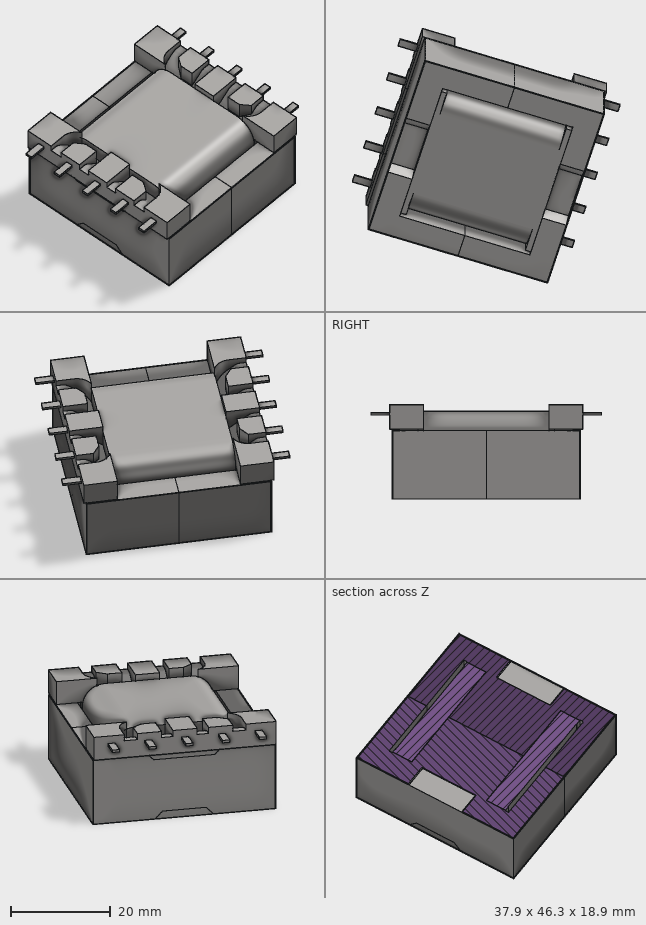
import cadquery as cq
import math

top_height = 18.95
core_height = 13.75
winding_height = 17.65

band_width = 37.85
band_thickness = 0.2
core_half_size = band_width / 2 - band_thickness
window_half_width = 14.25
window_half_length = 13.7
top_notch_half_width = 7.3
top_notch_depth = 1.0
bottom_notch_half_width = 6.02
bottom_notch_depth = 1.55

winding_half_width = 13.5
winding_radius = 4.6
winding_half_length = 12.55
leg_half_width = winding_half_width - winding_radius
leg_bottom = winding_radius
leg_top = winding_height - winding_radius

flange_half_width = 13.6
block_width = 37.67
block_height = 4.9
block_outer = 19.4
block_bottom = top_height - block_height
neck_drop = 0.75

center_tooth_half_width = 2.5
opening_half_width = 12.55
opening_arc_radius = 3.48
opening_arc_center = 15.75
tooth_inner_x = 4.85
tooth_outer_x = 9.85
tooth_end = 14.35
tooth_bevel_x = 7.9
tooth_bevel_y = 15.8
ramp_start = 18.05
ramp_tangent = 17.1
ramp_angle = math.radians(36)

pin_pitch = 7.6
pin_count = 5
pin_width = 1.5
pin_thickness = 0.5
pin_tip = 23.15
pin_center_height = 17.1


def box(x_min, x_max, y_min, y_max, z_min, z_max):
    size = (x_max - x_min, y_max - y_min, z_max - z_min)
    return cq.Workplane("XY").box(*size, centered=False).translate((x_min, y_min, z_min))


def centered_box(half_width, y_min, y_max, z_min, z_max):
    return box(-half_width, half_width, y_min, y_max, z_min, z_max)


def turned(body):
    """Copy of a body from the +Y end, turned round to the -Y end."""
    return body.rotate((0, 0, 0), (0, 0, 1), 180)


def trapezoid(half_base, base_z, height, y_min, y_max):
    """Trapezoidal bar along Y; its 45 degree sides close in away from base_z."""
    half_tip = half_base - abs(height)
    tip_z = base_z + height
    return (
        cq.Workplane("XZ", origin=(0, y_max, 0))
        .polyline([(-half_base, base_z), (half_base, base_z), (half_tip, tip_z), (-half_tip, tip_z)])
        .close()
        .extrude(y_max - y_min)
    )


def make_core_half():
    """E-shaped half on the +Y side: end wall, two outer legs and a middle leg."""
    core = centered_box(core_half_size, 0, core_half_size, 0, core_height)
    core = core.cut(centered_box(window_half_width, 0, window_half_length, 0, core_height))
    core = core.union(centered_box(leg_half_width, 0, window_half_length, leg_bottom, leg_top))
    wall = (window_half_length, core_half_size)
    core = core.cut(trapezoid(top_notch_half_width, core_height, -top_notch_depth, *wall))
    return core.cut(trapezoid(bottom_notch_half_width, 0, bottom_notch_depth, *wall))


def make_band():
    outside = cq.Workplane("XY").rect(band_width, band_width)
    return outside.rect(2 * core_half_size, 2 * core_half_size).extrude(core_height)


def make_ramp_space():
    """Space above the lead-out ramp: a level sill, a rounded crest and a straight slope to the winding."""
    radius = (ramp_start - ramp_tangent) / math.sin(ramp_angle)
    tangent_z = winding_height - radius * (1 - math.cos(ramp_angle))
    mid_y = ramp_start - radius * math.sin(ramp_angle / 2)
    mid_z = winding_height - radius * (1 - math.cos(ramp_angle / 2))
    foot_z = tangent_z - (ramp_tangent - winding_half_length) * math.tan(ramp_angle)
    return (
        cq.Workplane("YZ", origin=(-opening_half_width, 0, 0))
        .moveTo(block_outer, top_height)
        .lineTo(block_outer, winding_height)
        .lineTo(ramp_start, winding_height)
        .threePointArc((mid_y, mid_z), (ramp_tangent, tangent_z))
        .lineTo(winding_half_length, foot_z)
        .lineTo(winding_half_length, top_height)
        .close()
        .extrude(2 * opening_half_width)
    )


def make_opening(side):
    """Plan of the opening beside the middle tooth, around the bevelled outer tooth; side is -1 or 1."""
    arc_center_x = opening_half_width - opening_arc_radius
    drop = opening_arc_center - winding_half_length
    arc_end_x = arc_center_x + math.sqrt(opening_arc_radius**2 - drop**2)
    mid_angle = math.asin(drop / opening_arc_radius) / 2
    mid_x = arc_center_x + opening_arc_radius * math.cos(mid_angle)
    mid_y = opening_arc_center - opening_arc_radius * math.sin(mid_angle)
    opening = (
        cq.Workplane("XY")
        .moveTo(side * center_tooth_half_width, block_outer)
        .lineTo(side * opening_half_width, block_outer)
        .lineTo(side * opening_half_width, opening_arc_center)
        .threePointArc((side * mid_x, mid_y), (side * arc_end_x, winding_half_length))
        .lineTo(side * center_tooth_half_width, winding_half_length)
        .close()
        .extrude(top_height)
    )
    tooth = (
        cq.Workplane("XY")
        .polyline([
            (side * tooth_inner_x, block_outer),
            (side * tooth_outer_x, block_outer),
            (side * tooth_outer_x, tooth_bevel_y),
            (side * tooth_bevel_x, tooth_end),
            (side * tooth_inner_x, tooth_end),
        ])
        .close()
        .extrude(top_height)
    )
    return opening.cut(tooth)


def make_neck():
    """Tongue under a block: its underside slopes down into the core's top notch as it nears the flange."""
    reach = (window_half_length, block_outer)
    upper = centered_box(top_notch_half_width, *reach, core_height, block_bottom)
    lower = trapezoid(top_notch_half_width, core_height, -top_notch_depth, *reach)
    side_profile = (
        cq.Workplane("YZ", origin=(-top_notch_half_width, 0, 0))
        .polyline([
            (block_outer, block_bottom),
            (window_half_length, block_bottom),
            (window_half_length, block_bottom - neck_drop),
        ])
        .close()
        .extrude(2 * top_notch_half_width)
    )
    return upper.union(lower).intersect(side_profile)


def make_pin(x):
    return box(
        x - pin_width / 2,
        x + pin_width / 2,
        block_outer,
        pin_tip,
        pin_center_height - pin_thickness / 2,
        pin_center_height + pin_thickness / 2,
    )


def make_bobbin_end():
    """Flange, terminal block, neck and pins at the +Y end."""
    end = centered_box(block_width / 2, winding_half_length, block_outer, block_bottom, top_height)
    end = end.union(centered_box(flange_half_width, winding_half_length, window_half_length, 0, block_bottom))
    end = end.union(make_neck())
    ramp_space = make_ramp_space()
    for side in (-1, 1):
        end = end.cut(make_opening(side).intersect(ramp_space))
    for index in range(pin_count):
        x = (index - (pin_count - 1) / 2) * pin_pitch
        end = end.union(make_pin(x))
    return end


def make_bobbin():
    """Both bobbin ends and the winding between them, with a hole for the middle core legs."""
    winding = centered_box(
        winding_half_width, -winding_half_length, winding_half_length, 0, winding_height
    ).edges("|Y").fillet(winding_radius)
    end = make_bobbin_end()
    bobbin = winding.union(end).union(turned(end))
    leg_hole = centered_box(leg_half_width, -window_half_length, window_half_length, leg_bottom, leg_top)
    return bobbin.cut(leg_hole)


bobbin = make_bobbin()
core_halves = [make_core_half(), turned(make_core_half())]
band = make_band()

result = cq.Compound.makeCompound([
    bobbin.val(),
    *[core.val() for core in core_halves],
    band.val(),
])